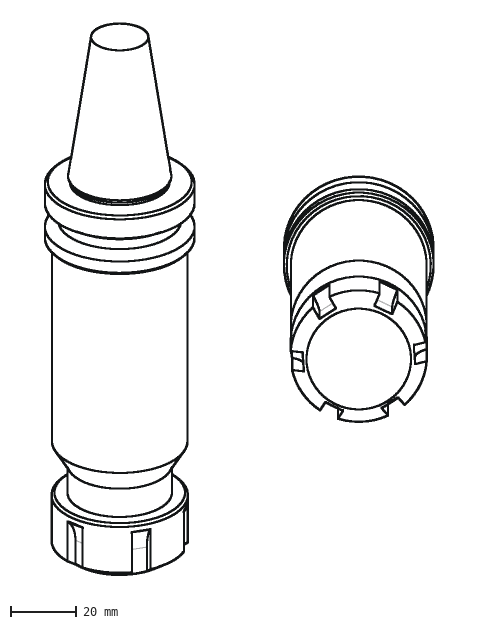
import cadquery as cq
import math

total_height = 178.4

taper_length = 48.3
gauge_radius = 15.9
taper_ratio = 7 / 24
tip_radius = gauge_radius - taper_length * taper_ratio / 2
gauge_z = total_height - taper_length
undercut_radius = 15.3
undercut_top = 129.0

flange_radius = 23.0
flange_top = 128.1
flange_bottom = 107.8
flange_chamfer = 0.9
groove_radius = 18.9
groove_top = 118.1
groove_bottom = 114.7
groove_upper_edge = 120.6
groove_lower_edge = 112.5

body_radius = 20.9
body_bottom = 38.0
neck_radius = 16.0
neck_top = 30.0

nut_diameter = 42.0
nut_radius = nut_diameter / 2
nut_height = 20.2
nut_top_chamfer = 0.9
nut_nose_radius = 16.0
nut_nose_height = 3.4

slot_count = 6
slot_width = 6.0
slot_floor_radius = 17.1
slot_runout_radius = 20.7
slot_straight_height = 9.3
slot_top = 17.3


def make_turned_body():
    """Revolve the half profile of the shank, flange, body and nut about Z."""
    profile = [
        (0, 0),
        (nut_nose_radius, 0),
        (nut_radius, nut_nose_height),
        (nut_radius, nut_height - nut_top_chamfer),
        (nut_radius - nut_top_chamfer, nut_height),
        (neck_radius, nut_height),
        (neck_radius, neck_top),
        (body_radius, body_bottom),
        (body_radius, flange_bottom),
        (flange_radius - flange_chamfer, flange_bottom),
        (flange_radius, flange_bottom + flange_chamfer),
        (flange_radius, groove_lower_edge),
        (groove_radius, groove_bottom),
        (groove_radius, groove_top),
        (flange_radius, groove_upper_edge),
        (flange_radius, flange_top - flange_chamfer),
        (flange_radius - flange_chamfer, flange_top),
        (undercut_radius, flange_top),
        (undercut_radius, undercut_top),
        (gauge_radius, gauge_z),
        (tip_radius, total_height),
        (0, total_height),
    ]
    return cq.Workplane("XZ").polyline(profile).close().revolve(360, (0, 0), (0, 1))


def make_slot_cutter():
    """Slot along +X: a straight floor that curves outward tangentially to a flat ceiling."""
    depth = slot_runout_radius - slot_floor_radius
    rise = slot_top - slot_straight_height
    arc_radius = (rise**2 + depth**2) / (2 * depth)
    half_sweep = math.asin(rise / arc_radius) / 2
    arc_middle = (
        slot_floor_radius + arc_radius * (1 - math.cos(half_sweep)),
        slot_straight_height + arc_radius * math.sin(half_sweep),
    )
    outer_radius = flange_radius
    return (
        cq.Workplane("XZ")
        .moveTo(slot_floor_radius, 0)
        .lineTo(slot_floor_radius, slot_straight_height)
        .threePointArc(arc_middle, (slot_runout_radius, slot_top))
        .lineTo(outer_radius, slot_top)
        .lineTo(outer_radius, 0)
        .close()
        .extrude(slot_width / 2, both=True)
    )


result = make_turned_body()
slot_cutter = make_slot_cutter()
for index in range(slot_count):
    angle = 90 + index * 360 / slot_count
    result = result.cut(slot_cutter.rotate((0, 0, 0), (0, 0, 1), angle))